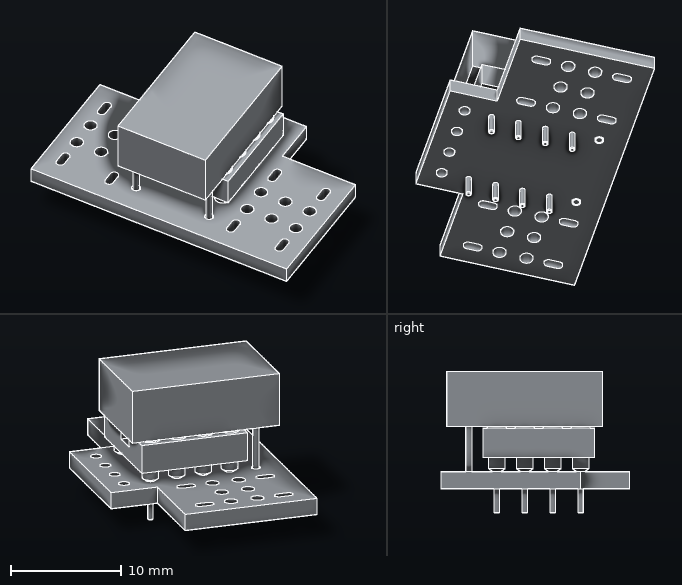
import cadquery as cq

board_width = 26.67
pitch = board_width / 10.5

body_depth = 5 * pitch
board_depth = 6.75 * pitch
tab_width = 4.5 * pitch
board_thickness = 1.57

large_hole_diameter = 1.2
tab_hole_diameter = 1.0
pin_hole_diameter = 0.8
slot_width = 0.8
slot_length = 1.73
side_columns = [2.5 * pitch, 3.5 * pitch, 4.5 * pitch]

socket_side = 4 * pitch
socket_front = 1.5 * pitch
socket_height = 2.7
socket_clearance = 1.25
channel_width = 4.08
channel_depth = socket_height / 2
channel_corner_radius = 0.5
rear_wall_thickness = 1.01
rear_opening_width = 2.15

contact_x = 1.5 * pitch
contact_rows = [2 * pitch, 3 * pitch, 4 * pitch, 5 * pitch]
sleeve_diameter = 1.52
sleeve_foot_diameter = 0.8
sleeve_taper_height = 0.27
rim_diameter = 1.73
rim_thickness = 0.13
tail_diameter = 0.5
tail_length = 2.21
tail_chamfer = 0.08

block_width = 9.12
block_depth = 14.15
block_front = 0.53
block_height = 5.01
block_pin_diameter = 0.6
block_pin_row = pitch

socket_bottom = socket_clearance
socket_top = socket_bottom + socket_height
block_bottom = socket_top + rim_thickness


def box(width, front, depth, bottom, height):
    """Box centred on X that starts at the given front and bottom."""
    return cq.Workplane("XY").box(width, depth, height, (True, False, False)).translate((0, front, bottom))


def cylinders(points, diameter, bottom, height):
    """Upright cylinders of one size at the given points."""
    return cq.Workplane("XY").workplane(offset=bottom).pushPoints(points).circle(diameter / 2).extrude(height)


def both_sides(columns, rows):
    """Grid of points mirrored about the YZ plane."""
    return [(side * x, y) for side in (-1, 1) for x in columns for y in rows]


contact_points = both_sides([contact_x], contact_rows)
block_pin_points = both_sides([contact_x], [block_pin_row])


def make_board():
    board = box(board_width, 0, body_depth, -board_thickness, board_thickness)
    board = board.union(box(tab_width, 0, board_depth, -board_thickness, board_thickness))
    round_holes = [
        (both_sides(side_columns, [2 * pitch, 3 * pitch]), large_hole_diameter),
        (both_sides([0.5 * pitch, 1.5 * pitch], [6 * pitch]), tab_hole_diameter),
        (block_pin_points, pin_hole_diameter),
    ]
    for points, diameter in round_holes:
        board = board.cut(cylinders(points, diameter, -board_thickness, board_thickness))
    slot_points = both_sides([side_columns[0], side_columns[-1]], [pitch, 4 * pitch])
    slots = cq.Workplane("XY").pushPoints(slot_points).slot2D(slot_length, slot_width, 90)
    return board.cut(slots.extrude(-board_thickness))


def make_socket():
    socket = box(socket_side, socket_front, socket_side, socket_bottom, socket_height)
    channel_bottom = socket_top - channel_depth
    channel_length = socket_side - rear_wall_thickness
    channel = box(channel_width, socket_front, channel_length, channel_bottom, channel_depth)
    channel = channel.edges("|Z and >Y").fillet(channel_corner_radius)
    opening_left = channel_corner_radius - channel_width / 2
    opening = box(rear_opening_width, socket_front, socket_side, channel_bottom, channel_depth)
    opening = opening.translate((opening_left + rear_opening_width / 2, 0, 0))
    return socket.cut(channel).cut(opening)


def make_contact():
    """Revolved profile of one contact, from the tail tip up to the rim."""
    tail_radius = tail_diameter / 2
    tail_tip = -board_thickness - tail_length
    profile = [
        (0, tail_tip),
        (tail_radius - tail_chamfer, tail_tip),
        (tail_radius, tail_tip + tail_chamfer),
        (tail_radius, 0),
        (sleeve_foot_diameter / 2, 0),
        (sleeve_diameter / 2, sleeve_taper_height),
        (sleeve_diameter / 2, socket_top),
        (rim_diameter / 2, socket_top),
        (rim_diameter / 2, block_bottom),
        (0, block_bottom),
    ]
    return cq.Workplane("XZ").polyline(profile).close().revolve(360, (0, 0), (0, 1))


def make_block():
    block = box(block_width, block_front, block_depth, block_bottom, block_height)
    pin_length = block_bottom + board_thickness
    return block.union(cylinders(block_pin_points, block_pin_diameter, -board_thickness, pin_length))


result = make_board().union(make_socket()).union(make_block())
contact = make_contact()
for x, y in contact_points:
    result = result.union(contact.translate((x, y, 0)))